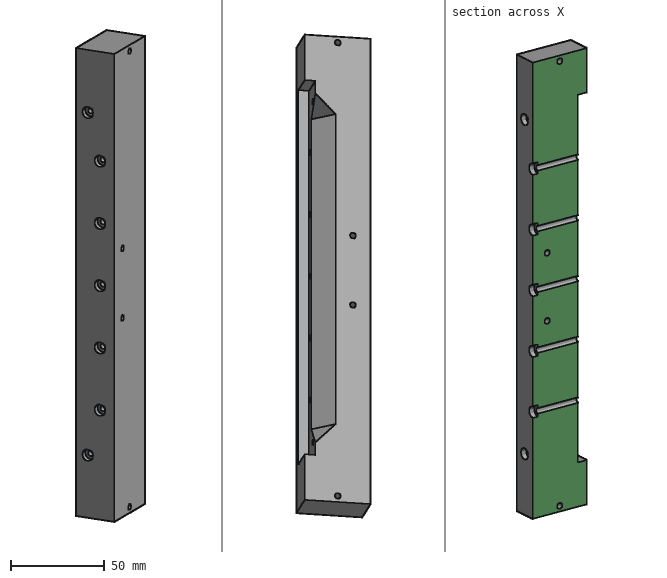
import cadquery as cq

width = 23.2
depth = 36.0
length = 263.0
mid_z = length / 2

ledge_x = 17.4
ledge_depth = 5.8
ledge_margin = 25.8
bevel_depth = 11.0
bevel_floor_length = 175.2
ledge_y = depth - ledge_depth
bevel_y = ledge_y - bevel_depth

screw_diameter = 3.0
head_diameter = 6.3
head_depth = 3.5
inner_screw_x = 14.5
outer_screw_x = 7.0
inner_screw_pitch = 35.0
inner_screw_count = 5
outer_screw_offset = 96.3

pin_diameter = 3.2
end_pin_margin = 3.5
middle_pin_y = 9.7
middle_pin_spacing = 39.2


def hole_along_y(x, z, diameter, hole_depth):
    """Cylinder entering the -Y face."""
    return cq.Workplane(cq.Solid.makeCylinder(
        diameter / 2, hole_depth, cq.Vector(x, 0, z), cq.Vector(0, 1, 0)))


def screw_hole(x, z):
    """Through hole with a counterbore in the -Y face."""
    through = hole_along_y(x, z, screw_diameter, depth)
    return through.union(hole_along_y(x, z, head_diameter, head_depth))


def pin_hole(y, z):
    """Through hole from the -X face to the +X face."""
    return cq.Workplane(cq.Solid.makeCylinder(
        pin_diameter / 2, width, cq.Vector(0, y, z), cq.Vector(1, 0, 0)))


def ledge_cut():
    """Shallow rectangular step along the +Y side."""
    return cq.Workplane("XY").box(
        ledge_x, ledge_depth, length - 2 * ledge_margin, centered=False
    ).translate((0, ledge_y, ledge_margin))


def bevel_cut():
    """Sloping wall below the ledge, with sloping triangular ends."""
    half_floor = bevel_floor_length / 2
    wedge = (
        cq.Workplane("XY", origin=(0, 0, mid_z - half_floor))
        .polyline([(0, bevel_y), (0, ledge_y), (bevel_depth, ledge_y)])
        .close()
        .extrude(bevel_floor_length)
    )
    for side in (-1, 1):
        z = mid_z + side * half_floor
        corner = cq.Vector(0, bevel_y, z)
        inner = cq.Vector(bevel_depth, ledge_y, z)
        root = cq.Vector(0, ledge_y, z)
        tip = cq.Vector(0, ledge_y, z + side * bevel_depth)
        faces = [
            cq.Face.makeFromWires(cq.Wire.makePolygon(points, close=True))
            for points in (
                [corner, inner, root],
                [corner, inner, tip],
                [corner, root, tip],
                [inner, root, tip],
            )
        ]
        wedge = wedge.union(cq.Workplane(cq.Solid.makeSolid(cq.Shell.makeShell(faces))))
    return wedge


result = cq.Workplane("XY").box(width, depth, length, centered=False)
result = result.cut(ledge_cut()).cut(bevel_cut())

for index in range(inner_screw_count):
    offset = (index - (inner_screw_count - 1) / 2) * inner_screw_pitch
    result = result.cut(screw_hole(inner_screw_x, mid_z + offset))

for side in (-1, 1):
    result = result.cut(screw_hole(outer_screw_x, mid_z + side * outer_screw_offset))
    result = result.cut(pin_hole(depth / 2, mid_z + side * (mid_z - end_pin_margin)))
    result = result.cut(pin_hole(middle_pin_y, mid_z + side * middle_pin_spacing / 2))